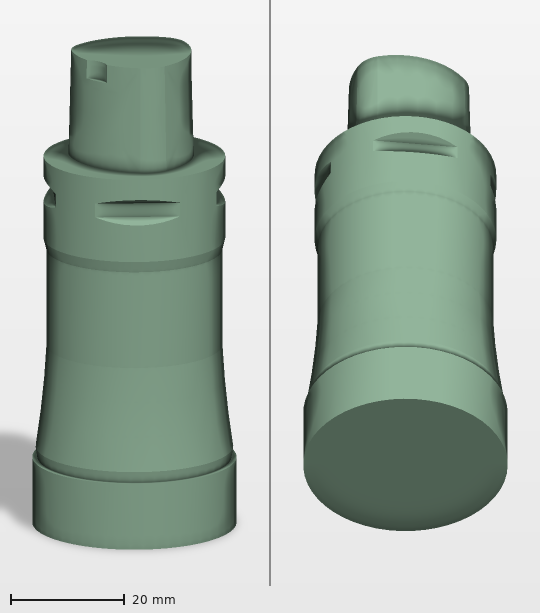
import cadquery as cq
import math

NUT_DIAMETER = 36.0
NUT_HEIGHT = 12.0

FLARE_BOTTOM_Z = 14.0
NECK_BOTTOM_Z = 32.5
NECK_TOP_Z = 50.0
FLANGE_BOTTOM_Z = 52.0
FLANGE_TOP_Z = 67.0
SHANK_TOP_Z = 86.0

SEAT_RADIUS = 17.1
FLARE_RADIUS = 17.4
NECK_RADIUS = 31.0 / 2
FLANGE_RADIUS = 32.0 / 2
FLARE_SAG = 0.25

GROOVE_COUNT = 4
GROOVE_FIRST_ANGLE = 45.0
GROOVE_Z = 61.0
GROOVE_FLOOR_DISTANCE = 14.15
GROOVE_FLOOR_WIDTH = 2.5
GROOVE_SIDE_ANGLE = 30.0
GROOVE_CUT_REACH = 4.0

LOBE_COUNT = 3
FIRST_LOBE_ANGLE = 90.0
LOBE_REACH = 11.75
SIDE_REACH = 10.4
LOBE_RADIUS = 5.75
SHANK_TAPER = 1.0 / 20

NOTCH_RADIUS = 4.0
NOTCH_DEPTH = 3.3
NOTCH_FLOOR_Y = -8.95


def polar(radius, degrees):
    angle = math.radians(degrees)
    return (radius * math.cos(angle), radius * math.sin(angle))


def make_nut():
    return cq.Workplane("XY").circle(NUT_DIAMETER / 2).extrude(NUT_HEIGHT)


def make_turned_body():
    flare_middle = (
        (FLARE_RADIUS + NECK_RADIUS) / 2 - FLARE_SAG,
        (FLARE_BOTTOM_Z + NECK_BOTTOM_Z) / 2,
    )
    return (
        cq.Workplane("XZ")
        .moveTo(0, NUT_HEIGHT)
        .lineTo(SEAT_RADIUS, NUT_HEIGHT)
        .lineTo(FLARE_RADIUS, FLARE_BOTTOM_Z)
        .threePointArc(flare_middle, (NECK_RADIUS, NECK_BOTTOM_Z))
        .lineTo(NECK_RADIUS, NECK_TOP_Z)
        .lineTo(FLANGE_RADIUS, FLANGE_BOTTOM_Z)
        .lineTo(FLANGE_RADIUS, FLANGE_TOP_Z)
        .lineTo(0, FLANGE_TOP_Z)
        .close()
        .revolve(360, (0, 0, 0), (0, 1, 0))
    )


def shank_outline(inset, z):
    """Closed outline of lobe arcs and flatter side arcs, tangent to each other, moved inward by inset."""
    lobe_centre = LOBE_REACH - LOBE_RADIUS
    radius_gap = SIDE_REACH - LOBE_RADIUS
    side_centre = (lobe_centre**2 - radius_gap**2) / (2 * radius_gap - lobe_centre)
    side_radius = SIDE_REACH + side_centre - inset
    half_pitch = 180.0 / LOBE_COUNT

    side_x, side_y = polar(side_centre, half_pitch + 180)
    join_direction = math.atan2(-side_y, lobe_centre - side_x)
    join_x = side_x + side_radius * math.cos(join_direction)
    join_y = side_y + side_radius * math.sin(join_direction)
    join_radius = math.hypot(join_x, join_y)
    join_angle = math.degrees(math.atan2(join_y, join_x))

    outline = cq.Workplane("XY", origin=(0, 0, z))
    outline = outline.moveTo(*polar(join_radius, FIRST_LOBE_ANGLE - join_angle))
    for i in range(LOBE_COUNT):
        lobe = FIRST_LOBE_ANGLE + i * 2 * half_pitch
        next_lobe = lobe + 2 * half_pitch
        outline = outline.threePointArc(
            polar(LOBE_REACH - inset, lobe),
            polar(join_radius, lobe + join_angle),
        )
        outline = outline.threePointArc(
            polar(SIDE_REACH - inset, lobe + half_pitch),
            polar(join_radius, next_lobe - join_angle),
        )
    return outline.close().val()


def make_shank():
    top_inset = (SHANK_TOP_Z - FLANGE_TOP_Z) * SHANK_TAPER / 2
    base = shank_outline(0, FLANGE_TOP_Z)
    top = shank_outline(top_inset, SHANK_TOP_Z)
    return cq.Workplane(cq.Solid.makeLoft([base, top], True))


def make_groove_cutter():
    floor_half = GROOVE_FLOOR_WIDTH / 2
    mouth_half = floor_half + GROOVE_CUT_REACH * math.tan(math.radians(GROOVE_SIDE_ANGLE))
    mouth_distance = GROOVE_FLOOR_DISTANCE + GROOVE_CUT_REACH
    return (
        cq.Workplane("XZ")
        .moveTo(GROOVE_FLOOR_DISTANCE, GROOVE_Z - floor_half)
        .lineTo(mouth_distance, GROOVE_Z - mouth_half)
        .lineTo(mouth_distance, GROOVE_Z + mouth_half)
        .lineTo(GROOVE_FLOOR_DISTANCE, GROOVE_Z + floor_half)
        .close()
        .extrude(FLANGE_RADIUS, both=True)
    )


def make_notch_cutter():
    return (
        cq.Workplane("XY", origin=(0, NOTCH_FLOOR_Y - NOTCH_RADIUS, SHANK_TOP_Z - NOTCH_DEPTH))
        .circle(NOTCH_RADIUS)
        .extrude(NOTCH_DEPTH)
    )


def make_body():
    body = make_turned_body().union(make_shank())
    groove_cutter = make_groove_cutter()
    for i in range(GROOVE_COUNT):
        angle = GROOVE_FIRST_ANGLE + i * 360.0 / GROOVE_COUNT
        body = body.cut(groove_cutter.rotate((0, 0, 0), (0, 0, 1), angle))
    return body.cut(make_notch_cutter())


nut = make_nut()
body = make_body()

result = cq.Compound.makeCompound([nut.val(), *body.vals()])